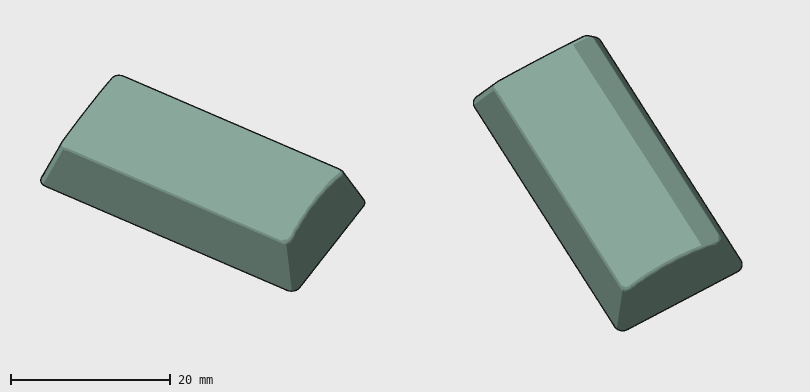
import cadquery as cq

length = 37.35
width = 18.3
height = 7.2

wall_lean = 17.75
crown_radius = 25.0
corner_radius = 1.25
rim_radius = 0.65


def tapered_block():
    """Truncated pyramid with rounded corner edges, as tall as the crown peak."""
    block = cq.Workplane("XY").rect(length, width).extrude(height, taper=wall_lean)
    slanted_corners = block.edges("not #Z")
    return slanted_corners.fillet(corner_radius)


def crown_cylinder():
    """Cylinder along X whose highest line is the top of the part."""
    return (
        cq.Workplane("YZ")
        .center(0, height - crown_radius)
        .circle(crown_radius)
        .extrude(length / 2, both=True)
    )


def round_rim(body):
    """Blend the curved top into the walls and corners."""
    return body.faces(">Z").edges().fillet(rim_radius)


crowned_block = tapered_block().intersect(crown_cylinder())
result = round_rim(crowned_block)